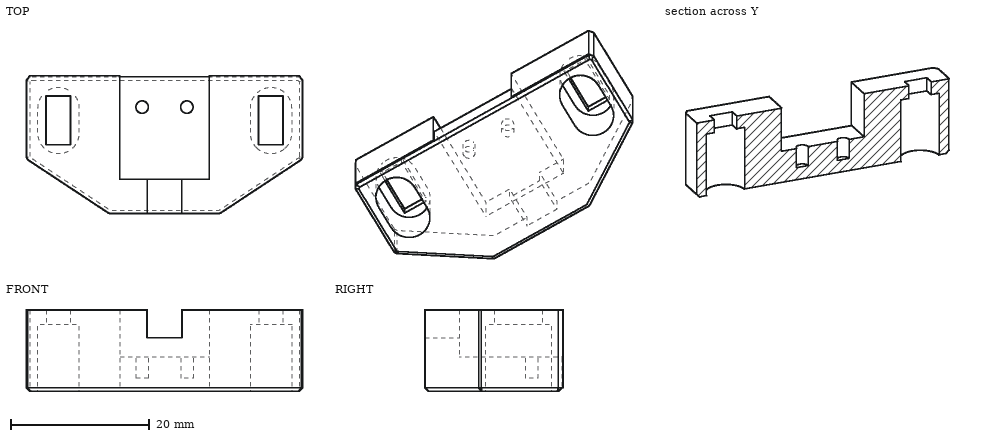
import cadquery as cq

width = 40.0
depth = 20.0
height = 11.8
ear_pad = 0.15
body_chamfer = 0.5
side_corner_y = -12.1
front_half_width = 8.0
side_corner_chamfer = 0.25
front_corner_chamfer = 0.15

pocket_width = 13.0
pocket_length = 15.0
pocket_depth = 6.8
notch_width = 5.0
notch_depth = 4.0
pin_hole_diameter = 1.8
pin_hole_depth = 3.0
pin_spacing = 6.5
pin_y = -4.55

slot_width = 3.5
slot_length = 7.0
slot_x = 15.4
slot_y = -6.5
slot_depth = 2.1
recess_width = 6.0
recess_length = 9.6


def box_between(x_min, x_max, y_min, y_max, z_min, z_max):
    """Box given by its limits along each axis."""
    size = (x_max - x_min, y_max - y_min, z_max - z_min)
    return cq.Workplane("XY").box(*size, centered=False).translate((x_min, y_min, z_min))


def make_body():
    """Six-sided block with broken corners and a chamfered bottom rim."""
    outline = [
        (-width / 2, -ear_pad),
        (width / 2, -ear_pad),
        (width / 2, side_corner_y),
        (front_half_width, -depth),
        (-front_half_width, -depth),
        (-width / 2, side_corner_y),
    ]
    body = cq.Workplane("XY").polyline(outline).close().extrude(height)
    body = body.edges("|Z and >Y").chamfer(body_chamfer)
    body = body.edges("|Z and <Y").chamfer(front_corner_chamfer)
    for side in (">X", "<X"):
        body = body.faces(side).edges("|Z and <Y").chamfer(side_corner_chamfer)
    return body.faces("<Z").edges().chamfer(body_chamfer)


def make_ear_pad(side):
    """Raised rear face of one ear, blended into its side by a slanted flank."""
    flank_y = -ear_pad - body_chamfer
    outline = [
        (side * pocket_width / 2, flank_y),
        (side * pocket_width / 2, 0),
        (side * (width / 2 - body_chamfer), 0),
        (side * width / 2, flank_y),
    ]
    pad = cq.Workplane("XY", origin=(0, 0, body_chamfer)).polyline(outline).close()
    return pad.extrude(height - body_chamfer)


def make_center_cutter():
    """Pocket, front notch and blind pin holes."""
    floor_z = height - pocket_depth
    pocket = box_between(-pocket_width / 2, pocket_width / 2, -pocket_length, 0, floor_z, height)
    notch_floor_z = height - notch_depth
    notch = box_between(-notch_width / 2, notch_width / 2, -depth, -pocket_length, notch_floor_z, height)
    pins = (
        cq.Workplane("XY", origin=(0, pin_y, floor_z))
        .pushPoints([(-pin_spacing / 2, 0), (pin_spacing / 2, 0)])
        .circle(pin_hole_diameter / 2)
        .extrude(-pin_hole_depth)
    )
    return pocket.union(notch).union(pins)


def make_slot_cutter(side):
    """Through opening of one ear: slot above, wider round-ended recess below."""
    recess_top = height - slot_depth
    center = (side * slot_x, slot_y)
    recess = (
        cq.Workplane("XY")
        .center(*center)
        .slot2D(recess_length, recess_width, angle=90)
        .extrude(recess_top)
    )
    slot = (
        cq.Workplane("XY", origin=(0, 0, recess_top))
        .center(*center)
        .rect(slot_width, slot_length)
        .extrude(slot_depth)
    )
    return recess.union(slot)


result = make_body()
for side in (-1, 1):
    result = result.union(make_ear_pad(side))
    result = result.cut(make_slot_cutter(side))
result = result.cut(make_center_cutter())